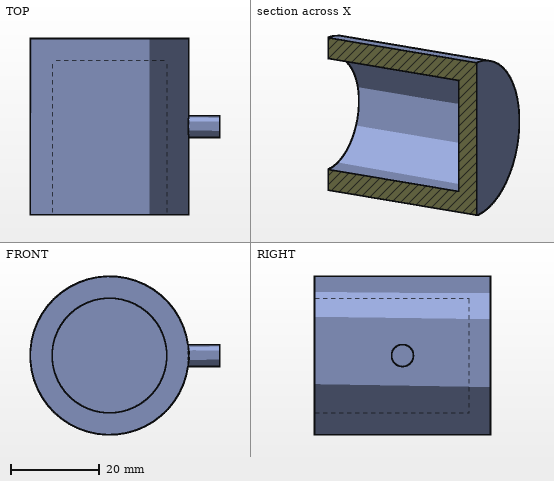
import cadquery as cq

overall_width = 43.0
cup_diameter = 36.0
cup_length = 40.0
wall = 5.0
pin_diameter = 5.0

cup_radius = cup_diameter / 2
bore_diameter = cup_diameter - 2 * wall
bore_depth = cup_length - wall
pin_tip_x = overall_width - cup_radius


def cylinder_along_y(diameter, length):
    """Cylinder from the open end of the cup (Y = 0) toward +Y."""
    return cq.Workplane("XZ").circle(diameter / 2).extrude(-length)


def make_cup():
    """Round cup, open toward -Y and closed at +Y."""
    bore = cylinder_along_y(bore_diameter, bore_depth)
    return cylinder_along_y(cup_diameter, cup_length).cut(bore)


def make_pin():
    """Radial pin at mid-length, its inner end shaped to the cup's outer surface."""
    rod = (
        cq.Workplane("YZ")
        .center(cup_length / 2, 0)
        .circle(pin_diameter / 2)
        .extrude(pin_tip_x)
    )
    return rod.cut(cylinder_along_y(cup_diameter, cup_length))


cup = make_cup()
pin = make_pin()

result = cq.Compound.makeCompound([cup.val(), *pin.vals()])